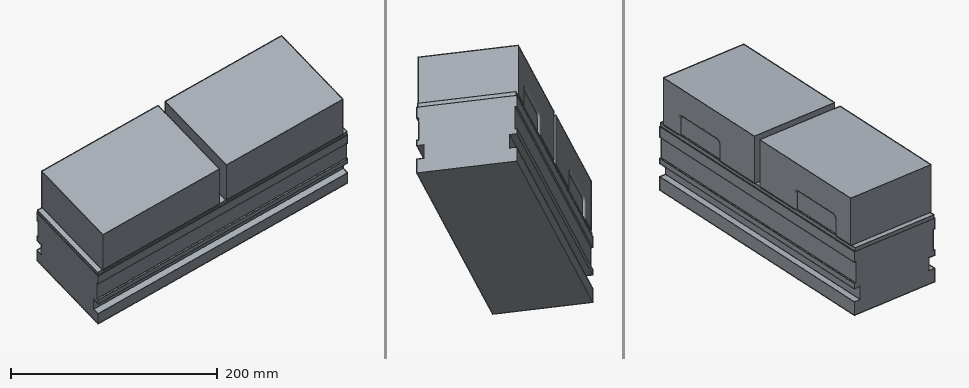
import cadquery as cq

width = 100.0
length = 300.0
height = 130.0

base_height = 72.0
deep_groove_bottom = 15.3
deep_groove_top = 30.0
deep_groove_depth = 7.2
shallow_groove_bottom = 36.0
shallow_groove_top = 60.0
shallow_groove_depth = 1.8

plate_thickness = 4.2
plate_inset = 1.0
plate_top = base_height + plate_thickness

block_length = 140.0
end_margin = 5.7
block_height = height - plate_top
block_center = length / 2 - end_margin - block_length / 2

recess_width = 61.5
recess_height = 22.2
recess_depth = 2.7
recess_corner_radius = 4.2
recess_rim_radius = 2.5
recess_end_distance = 55.0


def make_groove_pair(bottom, top, depth):
    """Matching cutters for one groove on both long sides of the base."""
    cutter_width = 2 * depth
    return (
        cq.Workplane("XY", origin=(0, 0, bottom))
        .pushPoints([(-width / 2, 0), (width / 2, 0)])
        .rect(cutter_width, length)
        .extrude(top - bottom)
    )


def make_base():
    bar = cq.Workplane("XY").box(width, length, base_height, centered=(True, True, False))
    deep_grooves = make_groove_pair(deep_groove_bottom, deep_groove_top, deep_groove_depth)
    shallow_grooves = make_groove_pair(shallow_groove_bottom, shallow_groove_top, shallow_groove_depth)
    return bar.cut(deep_grooves).cut(shallow_grooves)


def make_plate():
    return cq.Workplane("XY", origin=(0, 0, base_height)).box(
        width - 2 * plate_inset, length, plate_thickness, centered=(True, True, False)
    )


def make_recess(center_y):
    """Cutter for a finger recess with rounded upper corners, reaching below the block."""
    cutter_depth = 2 * recess_depth
    cutter_height = 2 * recess_height
    return (
        cq.Workplane("XY", origin=(-width / 2, center_y, plate_top))
        .box(cutter_depth, recess_width, cutter_height)
        .edges("|X and >Z")
        .fillet(recess_corner_radius)
    )


def make_block(side):
    """One block; side is +1 for the +Y end of the base and -1 for the -Y end."""
    center_y = side * block_center
    recess_y = side * (length / 2 - end_margin - recess_end_distance)
    block = cq.Workplane("XY", origin=(0, center_y, plate_top)).box(
        width, block_length, block_height, centered=(True, True, False)
    )
    block = block.cut(make_recess(recess_y))
    rim_top_middle = (-width / 2, recess_y, plate_top + recess_height)
    rim = block.edges(cq.selectors.NearestToPointSelector(rim_top_middle))
    return rim.fillet(recess_rim_radius)


base = make_base()
plate = make_plate()
blocks = [make_block(side) for side in (1, -1)]

result = cq.Compound.makeCompound([base.val(), plate.val(), *[block.val() for block in blocks]])